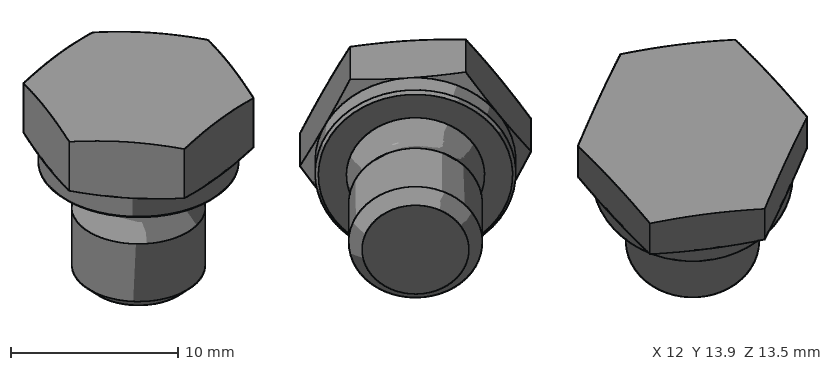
import cadquery as cq
import math

across_flats = 12.0
across_corners = 13.86
head_height = 4.0
head_chamfer_angle = math.radians(15)

flange_height = 1.5
flange_chamfer = 0.2

shank_radius = 8.0 / 2
shank_length = 8.0
tip_chamfer = 0.8
shoulder_z = 4.92

neck_radius = 3.22
neck_fillet = 1.0
lower_cone_angle = math.radians(30)
upper_cone_angle = math.radians(40)

flange_radius = across_flats / 2
corner_radius = across_corners / 2
head_bottom = shank_length + flange_height
head_top = head_bottom + head_height


def make_head():
    """Hexagon with corners on the Y axis, chamfered conically at both ends."""
    hexagon = (
        cq.Workplane("XY", origin=(0, 0, head_bottom))
        .polygon(6, across_corners)
        .extrude(head_height)
        .rotate((0, 0, 0), (0, 0, 1), 30)
    )
    envelope_radius = corner_radius + 0.14
    drop = (envelope_radius - flange_radius) * math.tan(head_chamfer_angle)
    envelope = (
        cq.Workplane("XZ")
        .moveTo(0, head_bottom)
        .lineTo(flange_radius, head_bottom)
        .lineTo(envelope_radius, head_bottom + drop)
        .lineTo(envelope_radius, head_top - drop)
        .lineTo(flange_radius, head_top)
        .lineTo(0, head_top)
        .close()
        .revolve(360, (0, 0, 0), (0, 1, 0))
    )
    return hexagon.intersect(envelope)


def make_shank_and_flange():
    """Revolved shank, undercut with a rounded waist, and flange."""
    arc_center_r = neck_radius + neck_fillet
    lower_tangent_r = arc_center_r - neck_fillet * math.cos(lower_cone_angle)
    lower_tangent_z = shoulder_z + (shank_radius - lower_tangent_r) / math.tan(lower_cone_angle)
    waist_z = lower_tangent_z + neck_fillet * math.sin(lower_cone_angle)
    upper_tangent_r = arc_center_r - neck_fillet * math.cos(upper_cone_angle)
    upper_tangent_z = waist_z + neck_fillet * math.sin(upper_cone_angle)
    upper_cone_r = upper_tangent_r + (shank_length - upper_tangent_z) * math.tan(upper_cone_angle)

    return (
        cq.Workplane("XZ")
        .moveTo(0, 0)
        .lineTo(shank_radius - tip_chamfer, 0)
        .lineTo(shank_radius, tip_chamfer)
        .lineTo(shank_radius, shoulder_z)
        .lineTo(lower_tangent_r, lower_tangent_z)
        .threePointArc((neck_radius, waist_z), (upper_tangent_r, upper_tangent_z))
        .lineTo(upper_cone_r, shank_length)
        .lineTo(flange_radius - flange_chamfer, shank_length)
        .lineTo(flange_radius, shank_length + flange_chamfer)
        .lineTo(flange_radius, head_bottom)
        .lineTo(0, head_bottom)
        .close()
        .revolve(360, (0, 0, 0), (0, 1, 0))
    )


result = make_head().union(make_shank_and_flange())